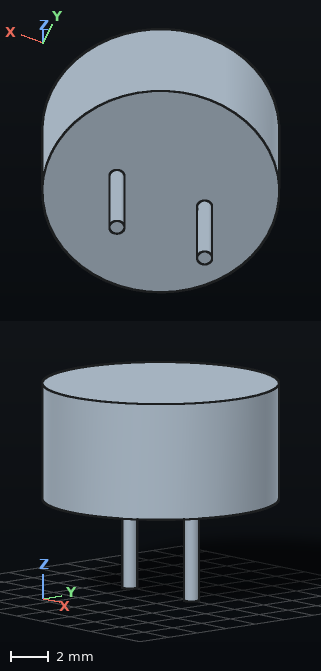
import cadquery as cq

housing_diameter = 12.5
housing_height = 6.2

pin_diameter = 0.8
pin_length = 5.1
pin_spacing = 5.0


def make_housing():
    """Solid round can."""
    return cq.Workplane("XY").circle(housing_diameter / 2).extrude(housing_height)


def make_pin(x):
    """Straight round pin that touches the underside of the housing."""
    return cq.Workplane("XY").center(x, 0).circle(pin_diameter / 2).extrude(-pin_length)


housing = make_housing()
pins = [make_pin(side * pin_spacing / 2) for side in (-1, 1)]

result = cq.Compound.makeCompound([housing.val(), *[pin.val() for pin in pins]])